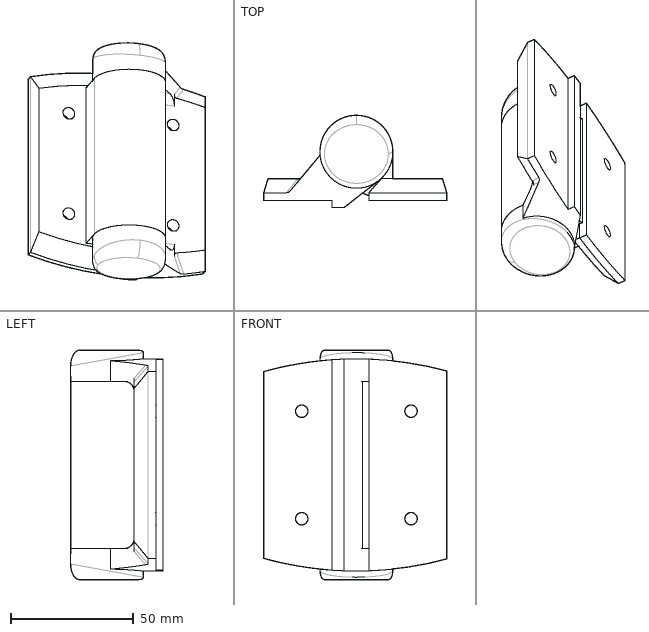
import cadquery as cq
import math

LENGTH = 94.0
DEPTH = 37.9
BARREL_RADIUS = 14.95
KNUCKLE_HALF = 34.1

FRONT_Y = -20.0
RIM_Y = -16.8
BACK_Y = -11.0
LEAF_HALF = 43.4
END_ARC_RADIUS = 142.0
END_BEVEL = 7.5
EDGE_BEVEL = 1.8
HOLE_DIAMETER = 5.0
HOLE_X = 22.4
HOLE_Z = 22.0

FIXED_EDGE_X = -38.0
ARM_FOOT_X = -27.7
ARM_TOP_Y = -1.4
ARM_TOP_X = -math.sqrt(BARREL_RADIUS**2 - ARM_TOP_Y**2)
ARM_SLOPE = (ARM_TOP_X - ARM_FOOT_X) / (ARM_TOP_Y - RIM_Y)
ARM_FILLET = 1.9
LUG_LEFT_X = -10.1
LUG_RIGHT_X = -5.1
LUG_Y = BARREL_RADIUS - DEPTH
POCKET_FILLET = 3.8

SWING_EDGE_X = 37.05
SWING_INNER_X = 5.1
WEB_Y = -18.1

ROUND_HEIGHT_BACK = 6.5
ROUND_HEIGHT_FRONT = 1.0
ROUND_INSET_BACK = 3.9
ROUND_INSET_FRONT = 2.0
ROUND_INSET_SIDE = 1.9
ROUND_STEPS = 4


def tangent_point(x, y, turn):
    """Point where a line from (x, y) touches the barrel; turn is +1 or -1 for the side."""
    angle = math.atan2(y, x) + turn * math.acos(BARREL_RADIUS / math.hypot(x, y))
    return (BARREL_RADIUS * math.cos(angle), BARREL_RADIUS * math.sin(angle))


def end_z(x):
    """Half length of a leaf at x."""
    return LEAF_HALF - END_ARC_RADIUS + math.sqrt(END_ARC_RADIUS**2 - x**2)


def leaf_outline(y, x_left, x_right, inset):
    """Outline with two curved ends in the plane at y; the ends are moved inwards by inset."""
    x_middle = (x_left + x_right) / 2

    def end_point(x, side):
        return (x, side * (end_z(x) - inset))

    plane = cq.Plane(origin=(0, y, 0), xDir=(1, 0, 0), normal=(0, -1, 0))
    return (
        cq.Workplane(plane)
        .moveTo(*end_point(x_left, -1))
        .threePointArc(end_point(x_middle, -1), end_point(x_right, -1))
        .lineTo(*end_point(x_right, 1))
        .threePointArc(end_point(x_middle, 1), end_point(x_left, 1))
        .close()
    )


def bevelled_back(rim_left, rim_right, back_left, back_right):
    """Raised back of a plate, narrowing from the rim to the flat back."""
    rim = leaf_outline(RIM_Y, rim_left, rim_right, 0).wire().val()
    back = leaf_outline(BACK_Y, back_left, back_right, END_BEVEL).wire().val()
    return cq.Workplane(cq.Solid.makeLoft([rim, back], True))


def screw_holes(x):
    drill_length = BACK_Y - LUG_Y
    return (
        cq.Workplane("XZ", origin=(x, LUG_Y, 0))
        .pushPoints([(0, -HOLE_Z), (0, HOLE_Z)])
        .circle(HOLE_DIAMETER / 2)
        .extrude(-drill_length)
    )


def round_section(angle):
    """Tilted ellipse across the rounded barrel end, from 0 (side wall) to 90 degrees (flat top)."""
    inward = 1 - math.cos(math.radians(angle))
    down = 1 - math.sin(math.radians(angle))
    back_y = BARREL_RADIUS - ROUND_INSET_BACK * inward
    front_y = ROUND_INSET_FRONT * inward - BARREL_RADIUS
    back_z = LENGTH / 2 - ROUND_HEIGHT_BACK * down
    front_z = LENGTH / 2 - ROUND_HEIGHT_FRONT * down
    depth = back_y - front_y
    rise = back_z - front_z
    plane = cq.Plane(
        origin=(0, (back_y + front_y) / 2, (back_z + front_z) / 2),
        xDir=(1, 0, 0),
        normal=(0, -rise, depth),
    )
    half_width = BARREL_RADIUS - ROUND_INSET_SIDE * inward
    return cq.Workplane(plane).ellipse(half_width, math.hypot(depth, rise) / 2).wire().val()


def end_knuckle():
    """Upper end of the barrel, above the middle knuckle."""
    side_wall = (
        cq.Workplane("YZ")
        .polyline([
            (-BARREL_RADIUS, KNUCKLE_HALF),
            (BARREL_RADIUS, KNUCKLE_HALF),
            (BARREL_RADIUS, LENGTH / 2 - ROUND_HEIGHT_BACK),
            (-BARREL_RADIUS, LENGTH / 2 - ROUND_HEIGHT_FRONT),
        ])
        .close()
        .extrude(BARREL_RADIUS, both=True)
    )
    barrel = cq.Workplane("XY").circle(BARREL_RADIUS).extrude(LENGTH / 2)
    sections = [round_section(90 * step / ROUND_STEPS) for step in range(ROUND_STEPS + 1)]
    return barrel.intersect(side_wall).union(cq.Workplane(cq.Solid.makeLoft(sections)))


def middle_knuckle_and_web():
    """Middle of the barrel with the web that leads to the swinging leaf."""
    base = cq.Workplane("XY", origin=(0, 0, -KNUCKLE_HALF))
    barrel = base.circle(BARREL_RADIUS).extrude(2 * KNUCKLE_HALF)
    web = (
        base
        .polyline([
            (0, 0),
            tangent_point(SWING_INNER_X, WEB_Y, -1),
            (SWING_INNER_X, WEB_Y),
            (BARREL_RADIUS, WEB_Y),
            (BARREL_RADIUS, 0),
        ])
        .close()
        .extrude(2 * KNUCKLE_HALF)
    )
    return barrel.union(web)


def make_swing_leaf():
    plate = leaf_outline(RIM_Y, SWING_INNER_X, SWING_EDGE_X, 0).extrude(RIM_Y - FRONT_Y)
    touch_x, touch_y = tangent_point(SWING_INNER_X, RIM_Y, 1)
    slope = (touch_x - SWING_INNER_X) / (touch_y - RIM_Y)
    inner_back_x = SWING_INNER_X + slope * (BACK_Y - RIM_Y)
    back = bevelled_back(SWING_INNER_X, SWING_EDGE_X, inner_back_x, SWING_EDGE_X - EDGE_BEVEL)
    leaf = plate.union(back).cut(screw_holes(HOLE_X))
    return leaf.union(middle_knuckle_and_web())


def knuckle_pocket():
    """Space behind the plate between the two arms, with rounded lower corners."""
    return (
        cq.Workplane("YZ", origin=(FIXED_EDGE_X, 0, 0))
        .rect(-2 * BACK_Y, 2 * KNUCKLE_HALF)
        .extrude(BARREL_RADIUS - FIXED_EDGE_X)
        .edges("|X and <Y")
        .fillet(POCKET_FILLET)
    )


def fillet_arm_feet(leaf):
    """Round the inner corners where the sloping arms meet the bevelled ends of the plate."""
    rim_end = end_z(ARM_FOOT_X)
    middle_x = ARM_FOOT_X + ARM_SLOPE * (BACK_Y - RIM_Y) / 2
    for side in (-1, 1):
        middle = (middle_x, (RIM_Y + BACK_Y) / 2, side * (rim_end - END_BEVEL / 2))
        leaf = leaf.edges(cq.selectors.NearestToPointSelector(middle)).fillet(ARM_FILLET)
    return leaf


def make_fixed_leaf():
    section = (
        cq.Workplane("XY", origin=(0, 0, -LEAF_HALF))
        .polyline([
            (FIXED_EDGE_X, RIM_Y),
            (FIXED_EDGE_X, FRONT_Y),
            (LUG_LEFT_X, FRONT_Y),
            (LUG_LEFT_X, LUG_Y),
            (LUG_RIGHT_X, LUG_Y),
            tangent_point(LUG_RIGHT_X, LUG_Y, 1),
            (0, 0),
            (ARM_TOP_X, ARM_TOP_Y),
            (ARM_FOOT_X, RIM_Y),
        ])
        .close()
        .extrude(2 * LEAF_HALF)
    )
    ends = leaf_outline(0, FIXED_EDGE_X, -FIXED_EDGE_X, 0).extrude(-LUG_Y)
    back = bevelled_back(FIXED_EDGE_X, LUG_RIGHT_X, FIXED_EDGE_X + EDGE_BEVEL, LUG_RIGHT_X)
    leaf = section.intersect(ends).cut(knuckle_pocket()).union(back)
    leaf = fillet_arm_feet(leaf)
    upper = end_knuckle()
    leaf = leaf.union(upper).union(upper.mirror("XY"))
    return leaf.cut(middle_knuckle_and_web()).cut(screw_holes(-HOLE_X))


fixed_leaf = make_fixed_leaf()
swing_leaf = make_swing_leaf()
result = cq.Compound.makeCompound([*fixed_leaf.vals(), *swing_leaf.vals()])